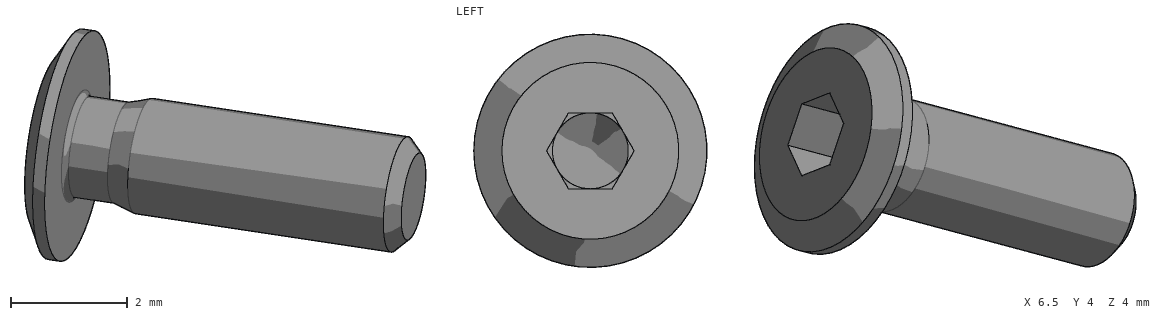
import cadquery as cq
import math

total_length = 6.5

head_radius = 4.0 / 2
head_face_radius = 1.515
head_bevel_length = 0.285
head_thickness = 0.5

neck_radius = 1.755 / 2
neck_fillet = 0.1
neck_end = 1.295
shank_start = 1.69

shank_radius = 2.0 / 2
tip_chamfer = 0.25

socket_across_flats = 1.3
socket_depth = 1.04
socket_cone_half_angle = 60.0


def make_body():
    """Revolve the half profile of the screw about the X axis."""
    fillet_sag = neck_fillet * (1 - math.sqrt(0.5))
    profile = (
        cq.Workplane("XY")
        .lineTo(0, head_face_radius)
        .lineTo(head_bevel_length, head_radius)
        .lineTo(head_thickness, head_radius)
        .lineTo(head_thickness, neck_radius + neck_fillet)
        .threePointArc(
            (head_thickness + fillet_sag, neck_radius + fillet_sag),
            (head_thickness + neck_fillet, neck_radius),
        )
        .lineTo(neck_end, neck_radius)
        .lineTo(shank_start, shank_radius)
        .lineTo(total_length - tip_chamfer, shank_radius)
        .lineTo(total_length, shank_radius - tip_chamfer)
        .lineTo(total_length, 0)
        .close()
    )
    return profile.revolve(360, (0, 0, 0), (1, 0, 0))


def make_socket():
    """Hexagonal prism with corners on the Y axis, ending in a drill cone."""
    across_corners = socket_across_flats / math.cos(math.radians(30))
    hexagon = cq.Workplane("YZ").polygon(6, across_corners).extrude(socket_depth)
    cone_radius = socket_across_flats / 2
    cone_depth = cone_radius / math.tan(math.radians(socket_cone_half_angle))
    cone = cq.Workplane(
        cq.Solid.makeCone(
            cone_radius,
            0,
            cone_depth,
            pnt=cq.Vector(socket_depth, 0, 0),
            dir=cq.Vector(1, 0, 0),
        )
    )
    return hexagon.union(cone)


result = make_body().cut(make_socket())